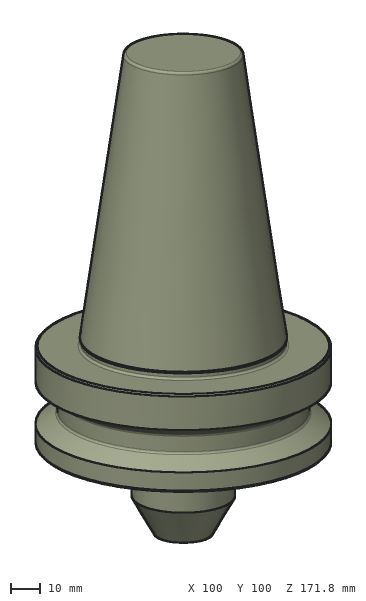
import cadquery as cq

total_length = 171.8

gauge_radius = 35.0
taper_length = 101.9
taper_ratio = 7 / 24
taper_tip_radius = gauge_radius - taper_length * taper_ratio / 2
tip_fillet = 1.0

neck_length = 3.0
neck_bevel_height = 0.7
neck_fillet = 0.9
neck_radius = 34.7

flange_radius = 50.0
flange_thickness = 35.0
flange_chamfer = 0.7
upper_rim_height = 12.7
lower_rim_height = 7.2
groove_root_radius = 42.6
groove_root_height = 6.7
groove_root_fillet = 1.0

pilot_radius = 17.5
pilot_tip_radius = 10.0
pilot_tip_length = 13.4
pilot_fillet = 2.7

flange_top = -neck_length
flange_bottom = flange_top - flange_thickness
pilot_bottom = taper_length - total_length
pilot_cone_top = pilot_bottom + pilot_tip_length

groove_top = flange_top - upper_rim_height
groove_bottom = flange_bottom + lower_rim_height
groove_middle = (groove_top + groove_bottom) / 2
groove_root_top = groove_middle + groove_root_height / 2
groove_root_bottom = groove_middle - groove_root_height / 2


def revolve_profile(points):
    """Turn a closed (radius, height) outline about the Z axis."""
    return cq.Workplane("XZ").polyline(points).close().revolve(360, (0, 0), (0, 1))


def make_shank():
    """Taper and neck, with a concave fillet where the neck meets the flange."""
    shank = (
        cq.Workplane("XZ")
        .moveTo(0, flange_top)
        .lineTo(neck_radius + neck_fillet, flange_top)
        .radiusArc((neck_radius, flange_top + neck_fillet), neck_fillet)
        .lineTo(neck_radius, -neck_bevel_height)
        .lineTo(gauge_radius, 0)
        .lineTo(taper_tip_radius, taper_length)
        .lineTo(0, taper_length)
        .close()
        .revolve(360, (0, 0), (0, 1))
    )
    return shank.faces(">Z").edges().fillet(tip_fillet)


def make_flange():
    flange = revolve_profile([
        (0, flange_bottom),
        (flange_radius, flange_bottom),
        (flange_radius, groove_bottom),
        (groove_root_radius, groove_root_bottom),
        (groove_root_radius, groove_root_top),
        (flange_radius, groove_top),
        (flange_radius, flange_top),
        (0, flange_top),
    ])
    smallest_circles = cq.selectors.RadiusNthSelector(0)
    flange = flange.edges("%CIRCLE").edges(smallest_circles).fillet(groove_root_fillet)
    return flange.faces(">Z or <Z").edges().chamfer(flange_chamfer)


def make_pilot():
    """Pilot below the flange, with a concave fillet at its root."""
    return (
        cq.Workplane("XZ")
        .moveTo(0, flange_bottom)
        .lineTo(pilot_radius + pilot_fillet, flange_bottom)
        .radiusArc((pilot_radius, flange_bottom - pilot_fillet), -pilot_fillet)
        .lineTo(pilot_radius, pilot_cone_top)
        .lineTo(pilot_tip_radius, pilot_bottom)
        .lineTo(0, pilot_bottom)
        .close()
        .revolve(360, (0, 0), (0, 1))
    )


result = make_shank().union(make_flange()).union(make_pilot())